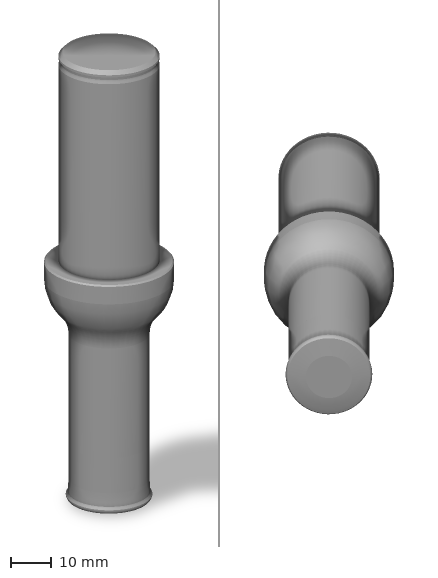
import cadquery as cq
import math

total_length = 120.0
shank_radius = 25.0 / 2
top_chamfer_height = 1.0
top_chamfer_width = 1.0
top_rim_bottom = 118.5
groove_radius = 12.1
groove_taper_bottom = 117.6
groove_bottom = 116.6

collar_radius = 32.0 / 2
collar_top = 64.2
collar_chamfer = 0.4
collar_bottom = 59.2
transition_middle = 50.5
transition_bottom = 44.8

neck_radius = 20.0 / 2
head_top = 15.4
flare_top = 6.0
flare_bottom = 2.4
flare_radius = 10.2
rim_radius = 10.7
rim_top = 1.7
rim_bulge_radius = 10.5
rim_bulge_height = 1.1
base_edge_radius = 10.2
base_edge_height = 0.6
base_face_radius = 11.4 / 2


def make_holder():
    """Revolve the shank, collar and neck as one body."""
    transition_height = collar_bottom - transition_bottom
    sweep = 2 * math.atan((collar_radius - neck_radius) / transition_height)
    convex_radius = (collar_bottom - transition_middle) / math.sin(sweep)
    concave_radius = (transition_middle - transition_bottom) / math.sin(sweep)
    middle_radius = collar_radius - convex_radius * (1 - math.cos(sweep))
    half_sweep = sweep / 2
    half_cosine_drop = 1 - math.cos(half_sweep)
    convex_point = (
        collar_radius - convex_radius * half_cosine_drop,
        collar_bottom - convex_radius * math.sin(half_sweep),
    )
    concave_point = (
        neck_radius + concave_radius * half_cosine_drop,
        transition_bottom + concave_radius * math.sin(half_sweep),
    )

    profile = (
        cq.Workplane("XZ")
        .moveTo(0, total_length)
        .lineTo(shank_radius - top_chamfer_width, total_length)
        .lineTo(shank_radius, total_length - top_chamfer_height)
        .lineTo(shank_radius, top_rim_bottom)
        .lineTo(groove_radius, top_rim_bottom)
        .lineTo(groove_radius, groove_taper_bottom)
        .lineTo(shank_radius, groove_bottom)
        .lineTo(shank_radius, collar_top)
        .lineTo(collar_radius - collar_chamfer, collar_top)
        .lineTo(collar_radius, collar_top - collar_chamfer)
        .lineTo(collar_radius, collar_bottom)
        .threePointArc(convex_point, (middle_radius, transition_middle))
        .threePointArc(concave_point, (neck_radius, transition_bottom))
        .lineTo(neck_radius, head_top)
        .lineTo(0, head_top)
        .close()
    )
    return profile.revolve(360, (0, 0, 0), (0, 1, 0))


def make_head():
    """Revolve the flared head with its shallow conical underside."""
    profile = (
        cq.Workplane("XZ")
        .moveTo(0, head_top)
        .lineTo(neck_radius, head_top)
        .lineTo(neck_radius, flare_top)
        .tangentArcPoint((flare_radius, flare_bottom), relative=False)
        .lineTo(rim_radius, rim_top)
        .threePointArc((rim_bulge_radius, rim_bulge_height), (base_edge_radius, base_edge_height))
        .lineTo(base_face_radius, 0)
        .lineTo(0, 0)
        .close()
    )
    return profile.revolve(360, (0, 0, 0), (0, 1, 0))


holder = make_holder()
head = make_head()

result = cq.Compound.makeCompound([holder.val(), head.val()])